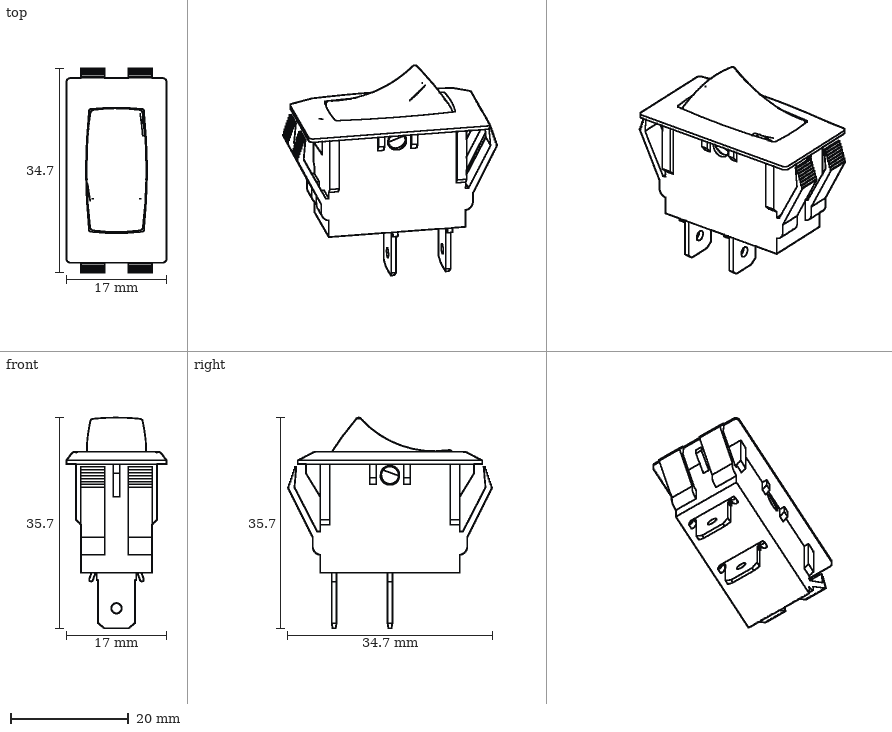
import cadquery as cq
import math


BEZEL_X = 17.0
BEZEL_Y = 31.35
RIM_HEIGHT = 0.6
BEZEL_HEIGHT = 2.1
RIM_CORNER_RADIUS = 0.7
CREST_X = 14.8
CREST_Y = 25.6
CREST_BULGE_X = 0.85
CREST_BULGE_Y = 0.65
CREST_CORNER_RADIUS = 0.35
CREST_FILLET = 0.93

OPENING_X = 10.35
OPENING_Y = 21.33
OPENING_BULGE_X = 0.55
OPENING_BULGE_Y = 0.3
OPENING_CORNER_RADIUS = 0.35
POCKET_DEPTH = 6.6

BOX_X = 12.05
BOX_Y = 23.7
BOX_HEIGHT = 18.45

RIB_REACH = 0.85
END_RIB_WIDTH = 1.65
END_RIB_HEIGHT = 10.3
END_RIB_SLOPE = 0.85
PIVOT_RIB_WIDTH = 1.07
PIVOT_RIB_Y = 2.85
PIVOT_RIB_HEIGHT = 3.4
PIVOT_RIB_SLOPE = 1.05
GUSSET_WIDTH = 1.07
GUSSET_REACH = 2.43
GUSSET_LIP = 1.57
GUSSET_HEIGHT = 5.55

CLIP_WIDTH = 4.05
CLIP_TOP = -0.43
CLIP_KNEE = -3.95
CLIP_REACH = 5.5
CLIP_TIP_INNER = 4.0
CLIP_TIP_OUTER = 4.32
CLIP_KNEE_INNER = 4.32
CLIP_CROTCH = 0.5
CLIP_CROTCH_Z = -11.4
CLIP_ROOT = 1.3
CLIP_ROOT_TOP = -12.4
CLIP_ROOT_RADIUS = 1.5
CLIP_ROOT_BOTTOM = -15.4
GRIP_STEPS = 7

PIVOT_Z = -1.9
PIVOT_DIAMETER = 2.95
PIVOT_HOLE_DIAMETER = 3.2
PIVOT_BEVEL_START = 0.43
PIVOT_BEVEL_DEPTH = 0.65

ROCKER_TILT = 19.7
ROCKER_X = 10.08
ROCKER_BULGE_X = 0.65
ROCKER_BULGE_Y = 0.35
ROCKER_BASE = -0.55
ROCKER_BASE_Y = 21.8
ROCKER_END_SLOPE = 17.6
ROCKER_BLANK_TOP = 8.95
ROCKER_END_SWELL = 0.2
ROCKER_CORNER_RADIUS = 0.57
ROCKER_FILLET = 0.45
DISH_RADIUS = 16.75
DISH_AXIS = 22.15

TERMINAL_Y = (0.0, -9.47)
TERMINAL_THICKNESS = 0.85
TERMINAL_LENGTH = 9.4
BLADE_WIDTH = 6.3
SHOULDER_WIDTH = 6.7
SHOULDER_LENGTH = 1.2
TIP_WIDTH = 4.15
TIP_LENGTH = 0.9
TIP_THICKNESS = 0.57
TERMINAL_HOLE_DIAMETER = 1.7
TERMINAL_HOLE_DEPTH = 6.0
BARB_ANGLE = 20.0
BARB_WIDTH = 0.68
BARB_ROOT_X = 3.9
BARB_LENGTH = 1.55
BARB_WEB = 0.2


def side_edge(start, middle, end):
    """Straight or arched edge between two corners, through the middle of the side."""
    points = [cq.Vector(*p) for p in (start, middle, end)]
    if start[0] == middle[0] or start[1] == middle[1]:
        return cq.Edge.makeLine(points[0], points[2])
    return cq.Edge.makeThreePointArc(*points)


def rounded_outline(size_x, size_y, bulge_x, bulge_y, corner_radius, z):
    """Rectangle-like outline whose sides arch outwards by the bulges to the full size."""
    x, y = size_x / 2, size_y / 2
    cx, cy = x - bulge_x, y - bulge_y
    edges = [
        side_edge((-cx, -cy, z), (0, -y, z), (cx, -cy, z)),
        side_edge((cx, -cy, z), (x, 0, z), (cx, cy, z)),
        side_edge((cx, cy, z), (0, y, z), (-cx, cy, z)),
        side_edge((-cx, cy, z), (-x, 0, z), (-cx, -cy, z)),
    ]
    wire = cq.Wire.assembleEdges(edges)
    return wire.fillet2D(corner_radius, wire.Vertices())


def ruled_solid(lower, upper):
    """Solid with straight-ruled sides between two outlines."""
    return cq.Workplane(obj=cq.Solid.makeLoft([lower, upper], True))


def bezel():
    rim = rounded_outline(BEZEL_X, BEZEL_Y, 0, 0, RIM_CORNER_RADIUS, 0)
    rim_top = rim.translate(cq.Vector(0, 0, RIM_HEIGHT))
    crest = rounded_outline(
        CREST_X, CREST_Y, CREST_BULGE_X, CREST_BULGE_Y, CREST_CORNER_RADIUS, BEZEL_HEIGHT
    )
    slopes = ruled_solid(rim_top, crest).faces(">Z").edges().fillet(CREST_FILLET)
    return ruled_solid(rim, rim_top).union(slopes)


def rocker_pocket():
    outline = (OPENING_X, OPENING_Y, OPENING_BULGE_X, OPENING_BULGE_Y, OPENING_CORNER_RADIUS)
    return ruled_solid(
        rounded_outline(*outline, -POCKET_DEPTH), rounded_outline(*outline, BEZEL_HEIGHT)
    )


def wall_rib_pair(y, width, height, slope):
    """Pair of ribs on the long walls, their lower ends sloping back to the box."""
    inner, outer = BOX_X / 2, BOX_X / 2 + RIB_REACH
    profile = [
        (-outer, 0), (outer, 0), (outer, slope - height), (inner, -height),
        (-inner, -height), (-outer, slope - height),
    ]
    return cq.Workplane("XZ").polyline(profile).close().extrude(width / 2, both=True).translate((0, y, 0))


def end_gussets():
    """Gusset plate standing out of both end walls."""
    wall = BOX_Y / 2
    reach = wall + GUSSET_REACH
    profile = [
        (-reach, 0), (reach, 0), (reach, -GUSSET_LIP), (wall, -GUSSET_HEIGHT),
        (-wall, -GUSSET_HEIGHT), (-reach, -GUSSET_LIP),
    ]
    return cq.Workplane("YZ").polyline(profile).close().extrude(GUSSET_WIDTH / 2, both=True)


def snap_clip():
    """Spring clip on the +X side of the +Y end wall, with a stepped finger grip."""
    wall = BOX_Y / 2
    rise = (CLIP_TOP - CLIP_KNEE) / GRIP_STEPS
    run = (CLIP_REACH - CLIP_TIP_OUTER) / GRIP_STEPS
    clip = (
        cq.Workplane("YZ")
        .moveTo(wall, CLIP_CROTCH_Z)
        .lineTo(wall + CLIP_CROTCH, CLIP_CROTCH_Z)
        .lineTo(wall + CLIP_KNEE_INNER, CLIP_KNEE)
        .lineTo(wall + CLIP_TIP_INNER, CLIP_TOP)
    )
    for step in range(GRIP_STEPS):
        y = wall + CLIP_TIP_OUTER + step * run
        clip = clip.lineTo(y, CLIP_TOP - step * rise).lineTo(y, CLIP_TOP - (step + 1) * rise)
    return (
        clip.lineTo(wall + CLIP_REACH, CLIP_KNEE)
        .lineTo(wall + CLIP_ROOT, CLIP_ROOT_TOP)
        .lineTo(wall + CLIP_ROOT, CLIP_ROOT_BOTTOM + CLIP_ROOT_RADIUS)
        .radiusArc((wall, CLIP_ROOT_BOTTOM), CLIP_ROOT_RADIUS)
        .close()
        .extrude(CLIP_WIDTH)
        .translate((BOX_X / 2 - CLIP_WIDTH, 0, 0))
    )


def make_housing():
    """Box and bezel in one piece, with ribs, gussets, snap clips and the rocker pocket."""
    box = cq.Workplane("XY").rect(BOX_X, BOX_Y).extrude(-BOX_HEIGHT)
    body = box.union(bezel())
    end_rib_y = (BOX_Y - END_RIB_WIDTH) / 2
    for side in (-1, 1):
        body = body.union(
            wall_rib_pair(side * end_rib_y, END_RIB_WIDTH, END_RIB_HEIGHT, END_RIB_SLOPE)
        )
        body = body.union(
            wall_rib_pair(side * PIVOT_RIB_Y, PIVOT_RIB_WIDTH, PIVOT_RIB_HEIGHT, PIVOT_RIB_SLOPE)
        )
    body = body.union(end_gussets())
    clip_pair = snap_clip(), snap_clip().mirror("YZ")
    for clip in clip_pair:
        body = body.union(clip).union(clip.mirror("XZ"))
    pivot_hole = (
        cq.Workplane("YZ").center(0, PIVOT_Z).circle(PIVOT_HOLE_DIAMETER / 2).extrude(BOX_X, both=True)
    )
    return body.cut(rocker_pocket()).cut(pivot_hole)


def pivot_pin():
    """Pin through the rocker, flush with the long walls, its ends bevelled back towards the bottom."""
    end, radius = BOX_X / 2, PIVOT_DIAMETER / 2
    pin = cq.Workplane("YZ").circle(radius).extrude(end, both=True)
    envelope = [
        (-end, radius), (end, radius), (end, PIVOT_BEVEL_START), (end - PIVOT_BEVEL_DEPTH, -radius),
        (PIVOT_BEVEL_DEPTH - end, -radius), (-end, PIVOT_BEVEL_START),
    ]
    return pin.intersect(cq.Workplane("XZ").polyline(envelope).close().extrude(radius, both=True))


def make_rocker():
    """Dished paddle with swelling ends, fused to its pivot pin and tilted to one switch position."""
    slope_inset = (ROCKER_BLANK_TOP - ROCKER_BASE) * math.tan(math.radians(ROCKER_END_SLOPE))
    top_y = ROCKER_BASE_Y - 2 * slope_inset
    bulges = (ROCKER_BULGE_X, ROCKER_BULGE_Y, ROCKER_CORNER_RADIUS)
    middle_y = (ROCKER_BASE_Y + top_y) / 2 + 2 * ROCKER_END_SWELL
    middle = (ROCKER_BASE + ROCKER_BLANK_TOP) / 2
    sections = [
        rounded_outline(ROCKER_X, length, *bulges, height)
        for length, height in ((ROCKER_BASE_Y, ROCKER_BASE), (middle_y, middle), (top_y, ROCKER_BLANK_TOP))
    ]
    blank = cq.Workplane(obj=cq.Solid.makeLoft(sections))
    dish = (
        cq.Workplane("YZ").center(0, DISH_AXIS).circle(DISH_RADIUS).extrude(ROCKER_X, both=True)
    )
    paddle = blank.cut(dish)
    dish_point = (0, 0, DISH_AXIS - DISH_RADIUS)
    paddle = paddle.faces(cq.NearestToPointSelector(dish_point)).edges().fillet(ROCKER_FILLET)
    return (
        paddle.union(pivot_pin())
        .rotate((0, 0, 0), (1, 0, 0), -ROCKER_TILT)
        .translate((0, 0, PIVOT_Z))
    )


def barb():
    """Spring barb splayed outwards on the +X side, with a round end."""
    strip = (
        cq.Workplane("XZ")
        .slot2D(BARB_LENGTH * 2, BARB_WIDTH, 90)
        .extrude(TERMINAL_THICKNESS / 2, both=True)
        .rotate((0, 0, 0), (0, 1, 0), -BARB_ANGLE)
        .translate((BARB_ROOT_X, 0, 0))
    )
    below = cq.Workplane("XY").rect(BEZEL_X, BEZEL_Y).extrude(-TERMINAL_LENGTH)
    return strip.intersect(below)


def make_terminal(y):
    """Blade terminal hanging from the floor of the housing."""
    half, shoulder, tip = BLADE_WIDTH / 2, SHOULDER_WIDTH / 2, TIP_WIDTH / 2
    tip_start = TIP_LENGTH - TERMINAL_LENGTH
    right_side = [
        (BARB_ROOT_X, 0), (BARB_ROOT_X, -BARB_WEB), (shoulder, -BARB_WEB), (shoulder, -SHOULDER_LENGTH),
        (half, -SHOULDER_LENGTH), (half, tip_start), (tip, -TERMINAL_LENGTH),
    ]
    left_side = [(-x, z) for x, z in reversed(right_side)]
    face = cq.Workplane("XZ").polyline(right_side + left_side).close()
    thick, thin = TERMINAL_THICKNESS / 2, TIP_THICKNESS / 2
    edge_profile = [
        (-thick, 0), (thick, 0), (thick, tip_start), (thin, -TERMINAL_LENGTH),
        (-thin, -TERMINAL_LENGTH), (-thick, tip_start),
    ]
    edge_envelope = cq.Workplane("YZ").polyline(edge_profile).close().extrude(BEZEL_X, both=True)
    hole = (
        cq.Workplane("XZ")
        .center(0, -TERMINAL_HOLE_DEPTH)
        .circle(TERMINAL_HOLE_DIAMETER / 2)
        .extrude(TERMINAL_THICKNESS, both=True)
    )
    blade = face.extrude(thick, both=True).intersect(edge_envelope).cut(hole)
    return blade.union(barb()).union(barb().mirror("YZ")).translate((0, y, -BOX_HEIGHT))


housing = make_housing()
rocker = make_rocker()
terminals = [make_terminal(y) for y in TERMINAL_Y]

result = cq.Compound.makeCompound([housing.val(), rocker.val(), *[terminal.val() for terminal in terminals]])